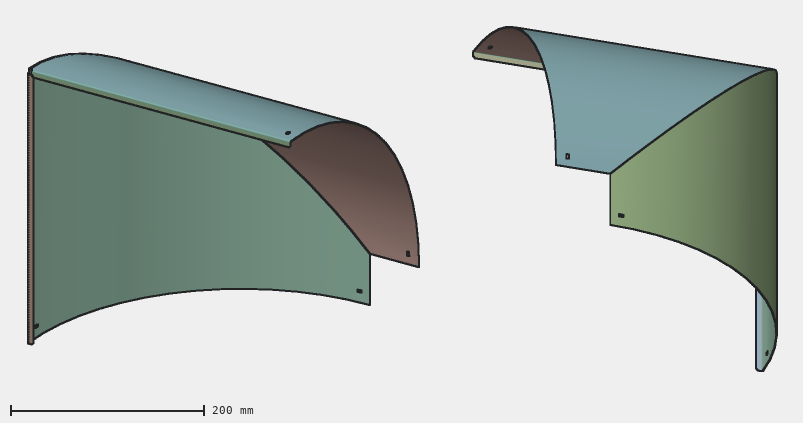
import cadquery as cq
import math

LENGTH = 317.7
DEPTH = 258.3
THICKNESS = 1.0

BEND_RADIUS = 1.5
LIP_WIDTH = 7.5
LIP_CHAMFER = 2.2

MITRE_GAP = 0.3
RELIEF_SIZE = 4.8
RELIEF_DEPTH = 3.0

SLOT_WIDTH = 2.5
SLOT_LENGTH = 5.0
SLOT_END_INSET = 13.0
SLOT_FRONT_INSET = 16.8
SLOT_REAR_INSET = 12.5

REAR_EDGE_Z = LENGTH - DEPTH
LIP_EDGE_Z = LENGTH - LIP_WIDTH
SLOT_X = LENGTH - SLOT_END_INSET

FOLD_AXIS_DISTANCE = DEPTH - BEND_RADIUS
FOLD_AXIS_ANGLE = math.acos(BEND_RADIUS / FOLD_AXIS_DISTANCE)
FOLD_AXIS_Z = REAR_EDGE_Z + FOLD_AXIS_DISTANCE * math.sin(FOLD_AXIS_ANGLE)


def sheet_point(offset, angle):
    """Point on the main arc, at a distance inside the outer surface."""
    radius = DEPTH - offset
    return (radius * math.cos(angle), REAR_EDGE_Z + radius * math.sin(angle))


def fold_middle(offset):
    """Middle of the fold's arc, at a distance inside the outer surface."""
    radius = BEND_RADIUS - offset
    angle = (FOLD_AXIS_ANGLE + math.pi) / 2
    return (BEND_RADIUS + radius * math.cos(angle), FOLD_AXIS_Z + radius * math.sin(angle))


def make_sheet():
    """Quarter-round sheet with a folded front lip, running the full length along X."""
    middle_angle = FOLD_AXIS_ANGLE / 2
    return (
        cq.Workplane("YZ")
        .moveTo(0, LIP_EDGE_Z)
        .lineTo(0, FOLD_AXIS_Z)
        .threePointArc(fold_middle(0), sheet_point(0, FOLD_AXIS_ANGLE))
        .threePointArc(sheet_point(0, middle_angle), sheet_point(0, 0))
        .lineTo(*sheet_point(THICKNESS, 0))
        .threePointArc(sheet_point(THICKNESS, middle_angle), sheet_point(THICKNESS, FOLD_AXIS_ANGLE))
        .threePointArc(fold_middle(THICKNESS), (THICKNESS, FOLD_AXIS_Z))
        .lineTo(THICKNESS, LIP_EDGE_Z)
        .close()
        .extrude(LENGTH)
    )


def mitre_cutter():
    """Triangular prism that removes everything on the other panel's side of the mitre."""
    shift = MITRE_GAP * math.sqrt(0.5)
    return (
        cq.Workplane("XZ")
        .polyline([(shift, LENGTH), (LENGTH + shift, 0), (0, 0), (0, LENGTH)])
        .close()
        .extrude(-DEPTH)
    )


def corner_relief():
    """Square notch through the folds at the shared corner."""
    return cq.Workplane("XY").box(RELIEF_SIZE, RELIEF_DEPTH, RELIEF_SIZE, centered=False).translate(
        (0, 0, LENGTH - RELIEF_SIZE)
    )


def lip_corner_cutter():
    """Wedge that chamfers the lip at the free end."""
    return (
        cq.Workplane("XZ")
        .moveTo(LENGTH, LIP_EDGE_Z)
        .lineTo(LENGTH - LIP_CHAMFER, LIP_EDGE_Z)
        .lineTo(LENGTH, LIP_EDGE_Z + LIP_CHAMFER)
        .close()
        .extrude(-THICKNESS)
    )


def front_slot():
    """Slot cut down through the sheet near the front, long side along Y."""
    return (
        cq.Workplane("XY", origin=(SLOT_X, SLOT_FRONT_INSET, LENGTH))
        .rect(SLOT_WIDTH, SLOT_LENGTH)
        .extrude(-LIP_WIDTH)
    )


def rear_slot():
    """Slot cut along Y through the sheet near its rear edge, long side along Z."""
    return (
        cq.Workplane("XZ", origin=(SLOT_X, DEPTH, REAR_EDGE_Z + SLOT_REAR_INSET))
        .rect(SLOT_WIDTH, SLOT_LENGTH)
        .extrude(LIP_WIDTH)
    )


def make_top_panel():
    return (
        make_sheet()
        .cut(mitre_cutter())
        .cut(corner_relief())
        .cut(lip_corner_cutter())
        .cut(front_slot())
        .cut(rear_slot())
    )


def make_side_panel(panel):
    """Mirror image of the top panel across the mitre plane."""
    return panel.mirror(cq.Vector(1, 0, 1), (0, 0, LENGTH))


top_panel = make_top_panel()
side_panel = make_side_panel(top_panel)

result = cq.Compound.makeCompound([top_panel.val(), side_panel.val()])